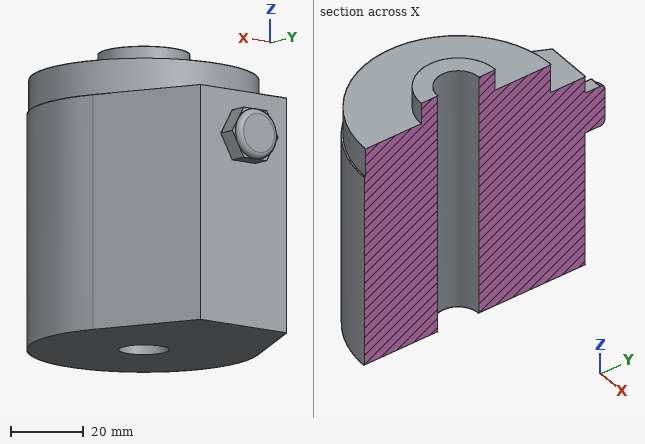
import cadquery as cq
import math

body_diameter = 64.4
body_height = 65.8
pad_width = 30.5
pad_distance = 43.4

disc_diameter = 63.4
disc_height = 9.65
total_height = 82.5
collar_diameter = 25.3

bore_diameter = 13.95

hex_across_flats = 14.0
hex_length = 5.0
cap_length = 1.65
cap_rounding = 1.6
fitting_height = 53.1

body_radius = body_diameter / 2
disc_top = body_height + disc_height
hex_across_corners = hex_across_flats / math.cos(math.radians(30))


def flank_tangent_point():
    """Point on the +X side where the flank from the pad corner touches the cylinder."""
    corner_distance = math.hypot(pad_width / 2, pad_distance)
    corner_angle = math.atan2(pad_distance, pad_width / 2)
    tangent_angle = corner_angle - math.acos(body_radius / corner_distance)
    return body_radius * math.cos(tangent_angle), body_radius * math.sin(tangent_angle)


def make_body():
    tangent_x, tangent_y = flank_tangent_point()
    return (
        cq.Workplane("XY")
        .moveTo(-pad_width / 2, pad_distance)
        .lineTo(pad_width / 2, pad_distance)
        .lineTo(tangent_x, tangent_y)
        .threePointArc((0, -body_radius), (-tangent_x, tangent_y))
        .close()
        .extrude(body_height)
    )


def make_piston():
    disc = (
        cq.Workplane("XY", origin=(0, 0, body_height))
        .circle(disc_diameter / 2)
        .extrude(disc_height)
    )
    collar = (
        cq.Workplane("XY", origin=(0, 0, disc_top))
        .circle(collar_diameter / 2)
        .extrude(total_height - disc_top)
    )
    return disc.union(collar)


def make_bore():
    return cq.Workplane("XY").circle(bore_diameter / 2).extrude(total_height)


def make_fitting():
    nut = (
        cq.Workplane("XZ", origin=(0, pad_distance, fitting_height))
        .polygon(6, hex_across_corners)
        .extrude(-hex_length)
    )
    cap = (
        cq.Workplane("XZ", origin=(0, pad_distance + hex_length, fitting_height))
        .circle(hex_across_flats / 2)
        .extrude(-cap_length)
        .faces(">Y")
        .edges()
        .fillet(cap_rounding)
    )
    return nut.union(cap)


result = make_body().union(make_piston()).union(make_fitting()).cut(make_bore())